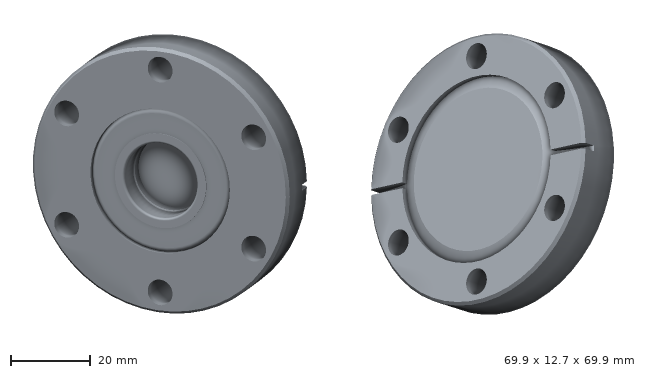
import cadquery as cq
import math

full_turn = 360

flange_diameter = 69.85
flange_radius = flange_diameter / 2
thickness = 12.7
edge_chamfer = 0.762

bolt_count = 6
bolt_circle_diameter = 58.72
bolt_circle_radius = bolt_circle_diameter / 2
bolt_hole_diameter = 6.73

mount_radius = 37.9 / 2
mount_depth = 0.45
mount_rim_radius = 1.3
collar_radius = 24.8 / 2
collar_height = 0.25
bore_mouth_radius = 20.9 / 2
bore_mouth_fillet = 0.6
front_bore_radius = bore_mouth_radius - bore_mouth_fillet
front_bore_depth = 6.05
bore_step_chamfer = 0.32
rear_bore_radius = front_bore_radius - bore_step_chamfer
window_depth = 8.8

recess_radius = 48.3 / 2
knife_edge_radius = 41.9 / 2
knife_edge_depth = 0.65
knife_slope_angle = 20
knife_slope_width = recess_radius - knife_edge_radius
recess_depth = knife_edge_depth + knife_slope_width * math.tan(math.radians(knife_slope_angle))

slot_width = 1.5
slot_rim_depth = 4.0
slot_recess_depth = 1.65
slot_floor_radius = 40
slot_recess_overlap = 0.2


def make_blank():
    """Flange disc with both outer edges chamfered."""
    disc = cq.Workplane("XZ").circle(flange_radius).extrude(-thickness)
    return disc.faces("<Y or >Y").edges().chamfer(edge_chamfer)


def revolve_about_axis(profile):
    """Revolve a closed radius/Y profile about the flange axis."""
    return profile.close().revolve(full_turn, (0, 0, 0), (0, 1, 0))


def make_bolt_holes():
    """Through holes evenly spaced on the bolt circle, the first at the top."""
    first_angle = 90
    return (
        cq.Workplane("XZ")
        .polarArray(bolt_circle_radius, first_angle, full_turn, bolt_count)
        .circle(bolt_hole_diameter / 2)
        .extrude(-thickness)
    )


def make_mount_cavity():
    """Space in front of the rounded mount face and its raised collar, with the stepped blind bore."""
    collar_depth = mount_depth - collar_height
    profile = (
        cq.Workplane("XY")
        .lineTo(mount_radius, 0)
        .lineTo(mount_radius, mount_depth + mount_rim_radius)
        .radiusArc((mount_radius - mount_rim_radius, mount_depth), mount_rim_radius)
        .lineTo(collar_radius, mount_depth)
        .lineTo(collar_radius, collar_depth)
        .lineTo(bore_mouth_radius, collar_depth)
        .radiusArc((front_bore_radius, collar_depth + bore_mouth_fillet), bore_mouth_fillet)
        .lineTo(front_bore_radius, front_bore_depth)
        .lineTo(rear_bore_radius, front_bore_depth + bore_step_chamfer)
        .lineTo(rear_bore_radius, window_depth)
        .lineTo(0, window_depth)
    )
    return revolve_about_axis(profile)


def make_sealing_recess():
    """Recess in the sealing face whose floor slopes up to the knife edge."""
    profile = (
        cq.Workplane("XY")
        .moveTo(0, thickness)
        .lineTo(recess_radius, thickness)
        .lineTo(recess_radius, thickness - recess_depth)
        .lineTo(knife_edge_radius, thickness - knife_edge_depth)
        .lineTo(0, thickness - knife_edge_depth)
    )
    return revolve_about_axis(profile)


def make_leak_slot():
    """Slot on the +X side, its concave floor curving up from the rim to the recess."""
    inner_x = recess_radius - slot_recess_overlap
    return (
        cq.Workplane("XY")
        .moveTo(inner_x, thickness)
        .lineTo(flange_radius, thickness)
        .lineTo(flange_radius, thickness - slot_rim_depth)
        .radiusArc((inner_x, thickness - slot_recess_depth), slot_floor_radius)
        .close()
        .extrude(slot_width / 2, both=True)
    )


leak_slot = make_leak_slot()
result = (
    make_blank()
    .cut(make_bolt_holes())
    .cut(make_mount_cavity())
    .cut(make_sealing_recess())
    .cut(leak_slot)
    .cut(leak_slot.mirror("YZ"))
)